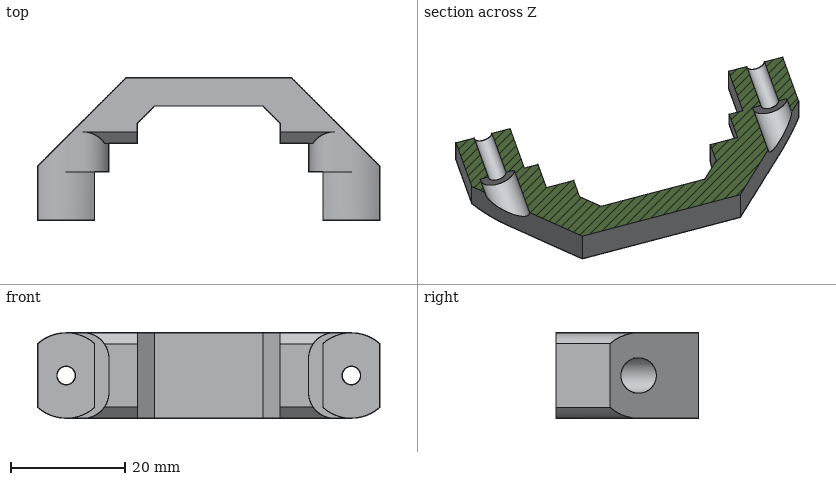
import cadquery as cq

length = 60.0
depth = 25.0
height = 15.0

foot_radius = height / 2
foot_width = 10.0
foot_x = length / 2 - foot_width / 2

grip_thickness = 5.0
grip_inner_y = depth - grip_thickness
outer_corner_y = 9.5
outer_corner_x = length / 2 - (depth - outer_corner_y)
inner_wall_x = 12.5
inner_corner = 3.0

ledge_y = 13.5
ledge_chamfer = 2.0

boss_x = 17.5
boss_y = 8.5
boss_fillet = 4.5

hole_diameter = 3.2
counterbore_diameter = 6.2
counterbore_seat_y = boss_y


def box(x_min, x_max, y_min, y_max):
    """Full-height block between the given X and Y limits."""
    return cq.Workplane("XY").box(x_max - x_min, y_max - y_min, height).translate(
        ((x_min + x_max) / 2, (y_min + y_max) / 2, 0)
    )


def cylinder_along_y(radius, y_min, y_max):
    """Cylinder on the foot axis between two Y positions."""
    return (
        cq.Workplane("XZ", origin=(foot_x, y_min, 0))
        .circle(radius)
        .extrude(y_min - y_max)
    )


def make_outline():
    """Outer envelope: a rectangle with its two far corners cut at 45 degrees."""
    points = [
        (-length / 2, 0),
        (length / 2, 0),
        (length / 2, outer_corner_y),
        (outer_corner_x, depth),
        (-outer_corner_x, depth),
        (-length / 2, outer_corner_y),
    ]
    return cq.Workplane("XY").polyline(points).close().extrude(height / 2, both=True)


def make_grip():
    """Straight grip bar with 45 degree gussets at its inner corners."""
    gusset_start_x = inner_wall_x - inner_corner
    gusset_end_y = grip_inner_y - inner_corner
    points = [
        (-inner_wall_x, depth),
        (-inner_wall_x, gusset_end_y),
        (-gusset_start_x, grip_inner_y),
        (gusset_start_x, grip_inner_y),
        (inner_wall_x, gusset_end_y),
        (inner_wall_x, depth),
    ]
    return cq.Workplane("XY").polyline(points).close().extrude(height / 2, both=True)


def make_leg():
    """Ledge, boss and foot on the +X side."""
    ledge = box(inner_wall_x, foot_x, ledge_y, depth)
    ledge = ledge.faces("<Y").edges("|X").chamfer(ledge_chamfer)
    boss = box(boss_x, foot_x, boss_y, depth)
    boss = boss.faces("<X").edges("|Y").fillet(boss_fillet)
    foot_blank = box(foot_x - foot_width / 2, foot_x + foot_width / 2, 0, depth)
    foot = cylinder_along_y(foot_radius, 0, depth).intersect(foot_blank)
    return ledge.union(boss).union(foot)


def make_screw_hole():
    """Through hole and counterbore on the +X side."""
    hole = cylinder_along_y(hole_diameter / 2, 0, depth)
    counterbore = cylinder_along_y(counterbore_diameter / 2, counterbore_seat_y, depth)
    return hole.union(counterbore)


leg = make_leg()
screw_hole = make_screw_hole()

body = make_grip().union(leg).union(leg.mirror("YZ"))
body = body.intersect(make_outline())
result = body.cut(screw_hole).cut(screw_hole.mirror("YZ"))